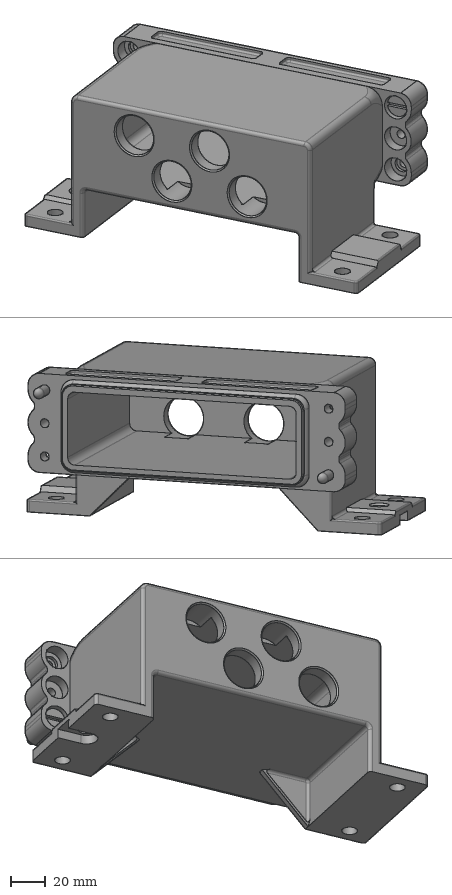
import cadquery as cq
import math


overall_width = 216.0
overall_height = 88.0
flange_step = 0.1
housing_top = overall_height - flange_step
housing_width = 155.7
half_width = housing_width / 2
arch_height = 29.8
arch_half_width = 69.5
arch_corner_radius = 2.2
leg_depth = 80.0
front_edge_radius = 2.2
rear_edge_radius = 0.9

long_edge_radius = 4.3
flange_end_radius = 10.5
flare_start = 75.5

cavity_half_width = 69.5
cavity_floor = 37.1
cavity_roof = 80.0
front_wall = 8.6
cavity_corner_radius = 4.3
entry_diameter = 24.2
entry_chamfer = 0.9
entry_depth = 21.5
upper_entry_z = 70.6
lower_entry_z = 46.9
entry_count = 4
entry_step = 24.5
first_entry_x = -36.5

foot_thickness = 7.3
foot_corner_radius = 2.0
foot_wall_radius = 1.7
foot_edge_radius = 0.9
pad_front = 24.6
pad_rear = 55.3
pad_slope_run = 2.0
left_pad_top = 9.5
right_pad_top = 10.8
foot_hole_x = 93.0
foot_hole_diameter = 9.0
foot_hole_front_y = 10.4
foot_hole_rear_y = 70.0
countersink_diameter = 11.2
slot_width = 13.2
slot_height = 5.6

gusset_thickness = 4.3
gusset_root_radius = 1.7
gusset_chamfer = 0.9

flange_front = 89.8
flange_rear = 110.1
flange_half_width = 96.5
flange_corner_radius = 7.1
neck_half_width = 92.7
lug_x = 86.4
lug_radius = flange_half_width - lug_x
lug_pitch = 19.5
lug_blend_radius = 2.5
label_length = 67.8
label_width = 11.5
label_gap = 15.1
label_y = 100.9
label_depth = 2.5
label_corner_radius = 2.2
label_floor_radius = 1.3

bore_diameter = 14.3
bore_depth = 7.0
screw_hole_diameter = 5.2
deep_bore_depth = 8.2
inner_bore_diameter = 9.0
inner_bore_depth = 2.2
head_diameter = 13.0
head_recess = 2.4
head_slot_width = 2.2
head_slot_depth = 2.2
pin_diameter = 6.3
pin_tip = 123.5

spigot_half_width = 73.5
spigot_half_height = 25.3
spigot_rear = 118.4
spigot_corner_radius = 7.0
spigot_chamfer = 0.6
gasket_overhang = 2.0
gasket_diameter = 5.5
gasket_corner_radius = 7.8

flange_mid_z = (arch_height + overall_height) / 2
SIDES = (-1, 1)


def block(x0, x1, y0, y1, z0, z1):
    return cq.Workplane("XY").box(x1 - x0, y1 - y0, z1 - z0, centered=False).translate((x0, y0, z0))


def rod(x, z, diameter, y0, y1):
    """Cylinder along Y from y0 to y1."""
    return (
        cq.Workplane("XZ", origin=(x, y0, z))
        .circle(diameter / 2)
        .extrude(y0 - y1)
    )


def rounded_bar(half_width_x, half_height_z, radius, y0, y1):
    """Bar along Y centred on the flange, with rounded long edges."""
    return (
        cq.Workplane("XZ", origin=(0, y0, flange_mid_z))
        .rect(2 * half_width_x, 2 * half_height_z)
        .extrude(y0 - y1)
        .edges("|Y")
        .fillet(radius)
    )


def make_bridge():
    """Front part of the housing standing on two legs, with an arch between them."""
    bridge = block(-half_width, half_width, 0, leg_depth, 0, housing_top)
    bridge = bridge.edges("|Z and >Y").fillet(rear_edge_radius)
    arch = block(-arch_half_width, arch_half_width, 0, leg_depth, 0, arch_height)
    arch = arch.edges("|Y and >Z").fillet(arch_corner_radius)
    return bridge.cut(arch)


def make_foot(side):
    """Foot plate reaching outwards from one leg, with rounded outer corners and top edges."""
    inner = half_width - front_edge_radius
    foot = block(inner, overall_width / 2, 0, leg_depth, 0, foot_thickness)
    foot = foot.edges("|Z and >X").fillet(foot_corner_radius)
    foot = foot.edges(">Z").edges("not <X").fillet(foot_edge_radius)
    return foot if side > 0 else foot.mirror("YZ")


def make_wall_fillet(side):
    """Concave fillet where a foot meets the leg."""
    x = half_width
    z = foot_thickness
    r = foot_wall_radius
    bend = r * (1 - math.sqrt(0.5))
    fillet = (
        cq.Workplane("XZ", origin=(0, front_edge_radius, 0))
        .moveTo(x - r, z - r)
        .lineTo(x + r, z - r)
        .lineTo(x + r, z)
        .threePointArc((x + bend, z + bend), (x, z + r))
        .lineTo(x - r, z + r)
        .close()
        .extrude(front_edge_radius + rear_edge_radius - leg_depth)
    )
    return fillet if side > 0 else fillet.mirror("YZ")


def make_gusset(side):
    """45 degree web at the rear of a leg, chamfered along its sloping front edge."""
    overlap = 2.2
    inner = arch_half_width - arch_height
    outer = arch_half_width + overlap
    outline = [
        (arch_half_width, 0),
        (outer, 0),
        (outer, arch_height + overlap),
        (inner, arch_height + overlap),
        (inner, arch_height),
    ]
    gusset_front = leg_depth - gusset_thickness
    gusset = (
        cq.Workplane("XZ", origin=(0, gusset_front, 0))
        .polyline(outline)
        .close()
        .extrude(-gusset_thickness)
    )
    slope_middle = (arch_half_width - arch_height / 2, gusset_front, arch_height / 2)
    gusset = gusset.edges(cq.NearestToPointSelector(slope_middle)).chamfer(gusset_chamfer)
    return gusset if side > 0 else gusset.mirror("YZ")


def corner_section(radius, side_x, side_z):
    """Region outside a rounded housing edge, in the XZ plane."""
    margin = 2.2
    corner_x = side_x * half_width
    corner_z = housing_top if side_z > 0 else arch_height

    def point(inward_x, inward_z):
        return (corner_x - side_x * inward_x, corner_z - side_z * inward_z)

    middle = radius * (1 - math.sqrt(0.5))
    return [
        point(-margin, radius),
        point(0, radius),
        point(middle, middle),
        point(radius, 0),
        point(radius, -margin),
        point(-margin, -margin),
    ]


def edge_cutter(stations, side_x, side_z):
    """Loft that rounds one long edge; stations are (y, radius) pairs."""
    wires = []
    for y, radius in stations:
        outer, start, middle, end, top, corner = corner_section(radius, side_x, side_z)
        section = (
            cq.Workplane("XZ", origin=(0, y, 0))
            .moveTo(*outer)
            .lineTo(*start)
            .threePointArc(middle, end)
            .lineTo(*top)
            .lineTo(*corner)
            .close()
        )
        wires.append(section.val())
    return cq.Workplane(cq.Solid.makeLoft(wires))


def flare_radius(y):
    """Radius of the long edges at y, growing as a parabola up to the flange."""
    reach = (y - flare_start) / (flange_front - flare_start)
    return long_edge_radius + (flange_end_radius - long_edge_radius) * reach**2


def flare_stations(start):
    steps = 3
    ys = [start + (flange_front - start) * i / steps for i in range(steps + 1)]
    return [(y, flare_radius(y)) for y in ys]


def fillet_front_outline(housing):
    """Round all front edges except those on the mounting plane."""
    tolerance = 0.2
    outline = cq.selectors.BoxSelector(
        (-half_width - tolerance, -tolerance, tolerance),
        (half_width + tolerance, tolerance, housing_top + tolerance),
    )
    return housing.edges(outline).fillet(front_edge_radius)


def fillet_gusset_roots(housing):
    """Round the corners where the gussets meet the legs and the underside."""
    y = leg_depth - gusset_thickness
    for side in SIDES:
        root = (side * arch_half_width, y, arch_height / 2)
        housing = housing.edges(cq.NearestToPointSelector(root)).fillet(gusset_root_radius)
    return housing


def make_housing():
    """Housing block with legs and feet, its long edges flaring towards the flange."""
    housing = make_bridge()
    for side in SIDES:
        straight = [(-2.2, long_edge_radius), (leg_depth + 2.2, long_edge_radius)]
        housing = housing.cut(edge_cutter(straight, side, 1))
        housing = housing.union(make_gusset(side))
    housing = fillet_front_outline(housing)
    housing = fillet_gusset_roots(housing)
    rear = block(-half_width, half_width, flare_start, flange_front, arch_height, housing_top)
    housing = housing.union(rear)
    for side in SIDES:
        housing = housing.cut(edge_cutter(flare_stations(flare_start), side, 1))
        housing = housing.cut(edge_cutter(flare_stations(leg_depth), side, -1))
        housing = housing.union(make_foot(side)).union(make_wall_fillet(side))
    return housing


def make_pad(side, top):
    """Raised sloped-sided pad across the middle of one foot."""
    inner = half_width - front_edge_radius
    length = overall_width / 2 - inner
    pad = (
        cq.Workplane("YZ")
        .polyline([
            (pad_front, 0),
            (pad_front, foot_thickness),
            (pad_front + pad_slope_run, top),
            (pad_rear - pad_slope_run, top),
            (pad_rear, foot_thickness),
            (pad_rear, 0),
        ])
        .close()
        .extrude(length)
    )
    pad = pad.faces(">X").edges(">Z").fillet(foot_edge_radius).translate((inner, 0, 0))
    return pad if side > 0 else pad.mirror("YZ")


def cut_foot_holes(body):
    """Corner holes in both feet, and a countersunk hole over a slot in the left foot."""
    mid_y = (foot_hole_front_y + foot_hole_rear_y) / 2
    places = [(s * foot_hole_x, y) for s in SIDES for y in (foot_hole_front_y, foot_hole_rear_y)]
    places.append((-foot_hole_x, mid_y))
    holes = cq.Workplane("XY").pushPoints(places).circle(foot_hole_diameter / 2).extrude(right_pad_top)
    body = body.cut(holes)
    sink_depth = (countersink_diameter - foot_hole_diameter) / 2
    sink = cq.Solid.makeCone(
        foot_hole_diameter / 2,
        countersink_diameter / 2,
        sink_depth,
        cq.Vector(-foot_hole_x, mid_y, left_pad_top - sink_depth),
    )
    slot_end = block(
        -overall_width / 2, -foot_hole_x, mid_y - slot_width / 2, mid_y + slot_width / 2, 0, slot_height
    )
    slot_root = cq.Workplane("XY").center(-foot_hole_x, mid_y).circle(slot_width / 2).extrude(slot_height)
    return body.cut(cq.Workplane(sink)).cut(slot_end).cut(slot_root)


def lug_places():
    return [(s * lug_x, flange_mid_z + i * lug_pitch) for s in SIDES for i in (-1, 0, 1)]


def make_flange():
    """Flange plate with three round lugs down each end and rounded outer corners."""
    envelope = block(
        -flange_half_width, flange_half_width, flange_front, flange_rear, arch_height, overall_height
    )
    flange = envelope.edges("|Y").fillet(flange_corner_radius)
    low_lug_z = flange_mid_z - lug_pitch
    high_lug_z = flange_mid_z + lug_pitch
    notch = block(neck_half_width, flange_half_width, flange_front, flange_rear, low_lug_z, high_lug_z)
    flange = flange.cut(notch).cut(notch.mirror("YZ"))
    for x, z in lug_places():
        lug = rod(x, z, 2 * lug_radius, flange_front, flange_rear)
        flange = flange.union(lug.intersect(envelope))
    tolerance = 0.2
    for side in SIDES:
        neck_edges = cq.selectors.BoxSelector(
            (side * (neck_half_width - tolerance), flange_front, low_lug_z),
            (side * (neck_half_width + tolerance), flange_rear, high_lug_z),
        )
        flange = flange.edges("|Y").edges(neck_edges).fillet(lug_blend_radius)
    return flange


def cut_label_recesses(body):
    """Two shallow recesses with rounded corners and floor edges in the flange top."""
    inner = label_gap / 2
    recess = block(
        inner,
        inner + label_length,
        label_y - label_width / 2,
        label_y + label_width / 2,
        overall_height - label_depth,
        overall_height,
    )
    recess = recess.edges("|Z").fillet(label_corner_radius).faces("<Z").edges().fillet(label_floor_radius)
    return body.cut(recess).cut(recess.mirror("YZ"))


def make_spigot():
    """Rounded rectangular spigot with a round gasket ring at its root."""
    spigot = rounded_bar(
        spigot_half_width, spigot_half_height, spigot_corner_radius, flange_front, spigot_rear
    )
    spigot = spigot.faces(">Y").edges().chamfer(spigot_chamfer)
    gasket_radius = gasket_diameter / 2
    core_half_width = spigot_half_width + gasket_overhang - gasket_radius
    core_half_height = spigot_half_height + gasket_overhang - gasket_radius
    core_corner_radius = gasket_corner_radius - gasket_radius
    core_y = flange_rear + gasket_radius
    core_bar = rounded_bar(core_half_width, core_half_height, core_corner_radius, core_y, spigot_rear)
    core_line = core_bar.faces("<Y").wires().val()
    gasket = (
        cq.Workplane("XY", origin=(0, core_y, flange_mid_z + core_half_height))
        .transformed(rotate=(0, 90, 0))
        .circle(gasket_radius)
        .sweep(cq.Workplane(core_line))
    )
    return spigot.union(gasket)


def cut_cavity(body):
    """Hollow the part from the rear and open the staggered cable entries in the front wall."""
    cavity = block(
        -cavity_half_width, cavity_half_width, front_wall, spigot_rear, cavity_floor, cavity_roof
    ).edges("|Y").fillet(cavity_corner_radius)
    body = body.cut(cavity)
    radius = entry_diameter / 2
    for i in range(entry_count):
        x = first_entry_x + i * entry_step
        z = upper_entry_z if i % 2 == 0 else lower_entry_z
        body = body.cut(rod(x, z, entry_diameter, 0, entry_depth))
        mouth = cq.Solid.makeCone(
            radius + entry_chamfer, radius, entry_chamfer, cq.Vector(x, 0, z), cq.Vector(0, 1, 0)
        )
        body = body.cut(cq.Workplane(mouth))
    return body


def fit_lug(body, x, z):
    """Bore one lug for a guide pin, a plain screw or a stepped screw seat."""
    has_pin = (z - flange_mid_z) * x > 0
    is_stepped = z != flange_mid_z and not has_pin
    floor_y = flange_front + (deep_bore_depth if is_stepped else bore_depth)
    body = body.cut(rod(x, z, bore_diameter, flange_front, floor_y))
    if has_pin:
        return body.union(make_pin(x, z, floor_y))
    if is_stepped:
        body = body.cut(rod(x, z, inner_bore_diameter, floor_y, floor_y + inner_bore_depth))
    return body.cut(rod(x, z, screw_hole_diameter, floor_y, flange_rear))


def make_pin(x, z, floor_y):
    """Guide pin with a slotted head in the bore and a round tip behind the flange."""
    head_y = flange_front + head_recess
    head = rod(x, z, head_diameter, head_y, floor_y)
    slot = block(
        x - head_diameter / 2,
        x + head_diameter / 2,
        head_y,
        head_y + head_slot_depth,
        z - head_slot_width / 2,
        z + head_slot_width / 2,
    )
    head = head.cut(slot)
    tip_radius = pin_diameter / 2
    shaft = rod(x, z, pin_diameter, floor_y, pin_tip - tip_radius)
    tip = cq.Workplane("XY").sphere(tip_radius).translate((x, pin_tip - tip_radius, z))
    return head.union(shaft).union(tip)


result = make_housing()
result = result.union(make_pad(-1, left_pad_top)).union(make_pad(1, right_pad_top))
result = cut_foot_holes(result)
result = result.union(make_flange())
result = cut_label_recesses(result)
result = result.union(make_spigot())
result = cut_cavity(result)
for lug_place in lug_places():
    result = fit_lug(result, *lug_place)